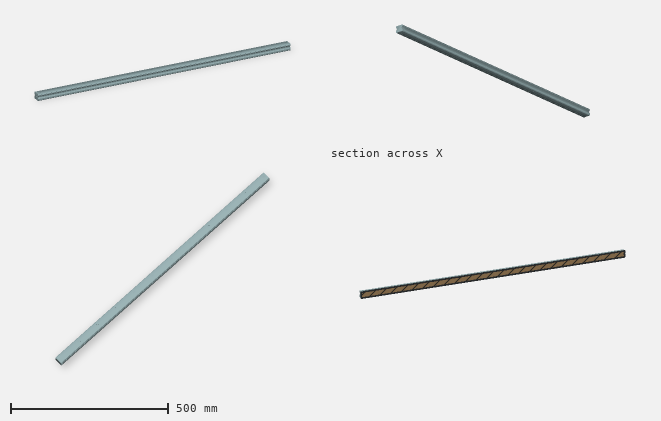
import cadquery as cq

rail_width = 28.0
rail_length = 900.0
rail_height = 23.0

base_chamfer = 2.0
base_side_top = 7.25
relief_width = 10.0
relief_depth = 0.5

neck_width = 20.5
neck_bottom = 11.5
neck_top = 13.25
lower_knee_width = 22.0
lower_knee_height = 10.0
upper_knee_width = 23.0
upper_knee_height = 15.75

head_side_bottom = 17.75
head_side_top = 20.5
top_width = 23.0
raceway_radius = 1.0
raceway_height = 19.25

recess_pitch = 80.0
recess_count = 12
recess_diameter = 11.0
recess_depth = 0.5

end_hole_diameter = 4.5
end_hole_height = 11.75
end_hole_depth = 2.0


def rail_body():
    """Symmetric section in XZ, extruded along Y and centred on the XZ plane."""
    half_width = rail_width / 2
    right_side = [
        (half_width - base_chamfer, 0),
        (half_width, base_chamfer),
        (half_width, base_side_top),
        (lower_knee_width / 2, lower_knee_height),
        (neck_width / 2, neck_bottom),
        (neck_width / 2, neck_top),
        (upper_knee_width / 2, upper_knee_height),
        (half_width, head_side_bottom),
        (half_width, head_side_top),
        (top_width / 2, rail_height),
    ]
    left_side = [(-x, z) for x, z in reversed(right_side)]
    section = cq.Workplane("XZ").polyline(right_side + left_side).close()
    return section.extrude(rail_length / 2, both=True)


def cut_raceways(body):
    """Half-round grooves along both sides of the head."""
    centres = [(side * rail_width / 2, raceway_height) for side in (-1, 1)]
    cutters = cq.Workplane("XZ").pushPoints(centres).circle(raceway_radius)
    return body.cut(cutters.extrude(rail_length / 2, both=True))


def cut_base_relief(body):
    """Shallow channel along the middle of the mounting face."""
    cutter = cq.Workplane("XY").rect(relief_width, rail_length).extrude(relief_depth)
    return body.cut(cutter)


def cut_top_recesses(body):
    cutters = (
        cq.Workplane("XY", origin=(0, 0, rail_height))
        .rarray(1, recess_pitch, 1, recess_count)
        .circle(recess_diameter / 2)
        .extrude(-recess_depth)
    )
    return body.cut(cutters)


def cut_end_hole(body):
    cutter = (
        cq.Workplane("XZ", origin=(0, -rail_length / 2, end_hole_height))
        .circle(end_hole_diameter / 2)
        .extrude(-end_hole_depth)
    )
    return body.cut(cutter)


rail = cut_raceways(rail_body())
rail = cut_base_relief(rail)
rail = cut_top_recesses(rail)
result = cut_end_hole(rail)